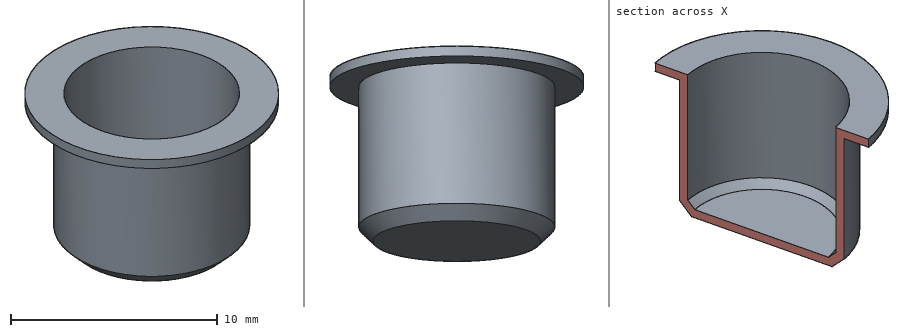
import cadquery as cq
import math

flange_diameter = 12.3
body_diameter = 9.5
bore_diameter = 8.5
total_height = 8.2
outer_chamfer = 0.7

wall = (body_diameter - bore_diameter) / 2
inner_chamfer = outer_chamfer - wall * (2 - math.sqrt(2))


def make_shell():
    """Solid body with a bevelled bottom edge and a flange at the top rim."""
    body = cq.Workplane("XY").circle(body_diameter / 2).extrude(total_height)
    body = body.faces("<Z").edges().chamfer(outer_chamfer)
    flange = (
        cq.Workplane("XY")
        .workplane(offset=total_height - wall)
        .circle(flange_diameter / 2)
        .extrude(wall)
    )
    return body.union(flange)


def make_cavity():
    """Blind bore, open at the top, with a bevel around its floor."""
    bore = (
        cq.Workplane("XY")
        .workplane(offset=wall)
        .circle(bore_diameter / 2)
        .extrude(total_height - wall)
    )
    return bore.faces("<Z").edges().chamfer(inner_chamfer)


result = make_shell().cut(make_cavity())